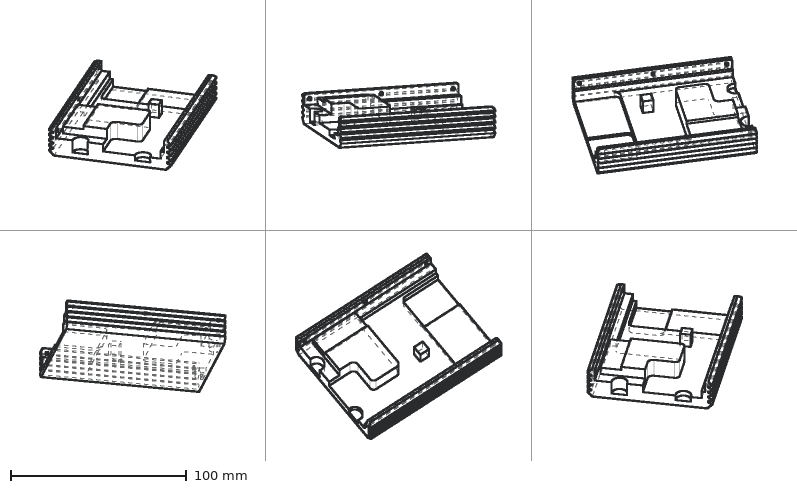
import cadquery as cq

length = 92.2
width = 72.5
height = 17.8

tooth_depth = 2.5
tooth_pitch = 3.3
tooth_count = 5
tip_flat = 0.4
root_flat = 0.2
lowest_tip_z = 3.0
bottom_bevel = 2.95

rail_thickness = 4.2
ledge_width = 2.0
rail_end_radius = 1.5
ledge_z = 11.2
floor_z = 6.6
rear_floor_z = 3.5
rear_pocket_z = 2.0

pocket_left = -27.1
pocket_radius = 2.95

rear_front_y = 20.1
rear_left = -25.1
rear_step_x = -4.3

block_top_z = 17.4
block_step_z = 15.4
block_step_x = -18.0
block_right = 13.5
block_front_y = -38.8
block_back_y = -8.85
arm_front_y = -28.2
pad_right = -4.1
block_outer_radius = 2.4
block_inner_radius = 3.1

post_side = 6.1
post_x = 11.0
post_y = 8.0
post_top_z = 14.9

recess_diameter = 9.0
recess_y = -45.1
recess_floor_z = 3.5
recess_xs = (-17.7, 19.3)

rail_hole_diameter = 1.8
rail_hole_depth = 1.4
rail_hole_z = 14.7
rail_hole_end_offset = 3.2

half_length = length / 2
half_width = width / 2
rail_inner = half_width - rail_thickness
ledge_inner = rail_inner - ledge_width


def box(x_range, y_range, z_range):
    """Axis-aligned box between the given limits."""
    (x0, x1), (y0, y1), (z0, z1) = x_range, y_range, z_range
    return cq.Workplane("XY").box(x1 - x0, y1 - y0, z1 - z0, centered=False).translate((x0, y0, z0))


def extruded_body():
    """Channel with toothed flanks, filled up to ledge level between the rails."""
    valley_x = half_width - tooth_depth
    flank = [(valley_x, height)]
    for i in range(1, tooth_count):
        valley_z = height - i * tooth_pitch
        tip_z = valley_z + tooth_pitch / 2
        flank.append((half_width, tip_z + tip_flat / 2))
        flank.append((half_width, tip_z - tip_flat / 2))
        flank.append((valley_x, valley_z + root_flat / 2))
        flank.append((valley_x, valley_z - root_flat / 2))
    flank.append((half_width, lowest_tip_z))
    right_side = [(rail_inner, ledge_z), (rail_inner, height)] + flank
    right_side.append((half_width - bottom_bevel, 0))
    left_side = [(-x, z) for x, z in reversed(right_side)]
    profile = cq.Workplane("XZ").polyline(right_side + left_side).close()
    return profile.extrude(half_length, both=True)


def rail_end_cutters():
    """Waste that rounds off the upper end corners of both rails."""
    front = (
        cq.Workplane("YZ")
        .moveTo(-half_length, height)
        .lineTo(-half_length + rail_end_radius, height)
        .radiusArc((-half_length, height - rail_end_radius), -rail_end_radius)
        .close()
        .extrude(half_width, both=True)
    )
    return front.union(front.mirror("XZ"))


def main_pocket():
    """Pocket behind the block down to the main floor, with its front part to the right of the pad."""
    behind_block = box(
        (pocket_left, ledge_inner), (block_back_y, half_length), (floor_z, ledge_z)
    ).edges("|Z and <X and <Y").fillet(pocket_radius)
    beside_pad = box((pad_right, ledge_inner), (-half_length, block_back_y), (floor_z, ledge_z))
    return behind_block.union(beside_pad)


def rear_pockets():
    """Two floor levels at the back end; the left one is the deeper."""
    y_range = (rear_front_y, half_length)
    wide = box((rear_left, ledge_inner), y_range, (rear_floor_z, floor_z))
    deep = box((rear_left, rear_step_x), y_range, (rear_pocket_z, floor_z))
    wide = wide.edges("|Z and <Y").fillet(pocket_radius)
    deep = deep.edges("|Z and <Y").fillet(pocket_radius)
    return wide.union(deep)


def raised_block():
    """L-shaped block whose arm reaches out over the main floor."""
    y_range = (block_front_y, block_back_y)
    pad = box((-ledge_inner, pad_right), y_range, (floor_z, block_top_z))
    arm = box((pad_right, block_right), (arm_front_y, block_back_y), (floor_z, block_top_z))
    arm = arm.edges("|Z and >X").fillet(block_outer_radius)
    inner_corner = cq.selectors.NearestToPointSelector((pad_right, arm_front_y, (floor_z + block_top_z) / 2))
    block = pad.union(arm).edges(inner_corner).fillet(block_inner_radius)
    step = box((-ledge_inner, block_step_x), y_range, (block_step_z, block_top_z))
    return block.cut(step)


def post():
    """Square post on the main floor."""
    return (
        cq.Workplane("XY", origin=(post_x, post_y, floor_z))
        .rect(post_side, post_side)
        .extrude(post_top_z - floor_z)
    )


def front_recesses():
    """Round recesses that break out through the front end face."""
    centres = [(x, recess_y) for x in recess_xs]
    return (
        cq.Workplane("XY", origin=(0, 0, recess_floor_z))
        .pushPoints(centres)
        .circle(recess_diameter / 2)
        .extrude(ledge_z - recess_floor_z)
    )


def rail_holes():
    """Three blind holes along each rail, drilled outwards from the inner face."""
    end_y = half_length - rail_hole_end_offset
    right = (
        cq.Workplane("YZ", origin=(rail_inner, 0, rail_hole_z))
        .pushPoints([(-end_y, 0), (0, 0), (end_y, 0)])
        .circle(rail_hole_diameter / 2)
        .extrude(rail_hole_depth)
    )
    return right.union(right.mirror("YZ"))


result = (
    extruded_body()
    .cut(rail_end_cutters())
    .cut(main_pocket())
    .cut(rear_pockets())
    .union(raised_block())
    .union(post())
    .cut(front_recesses())
    .cut(rail_holes())
)